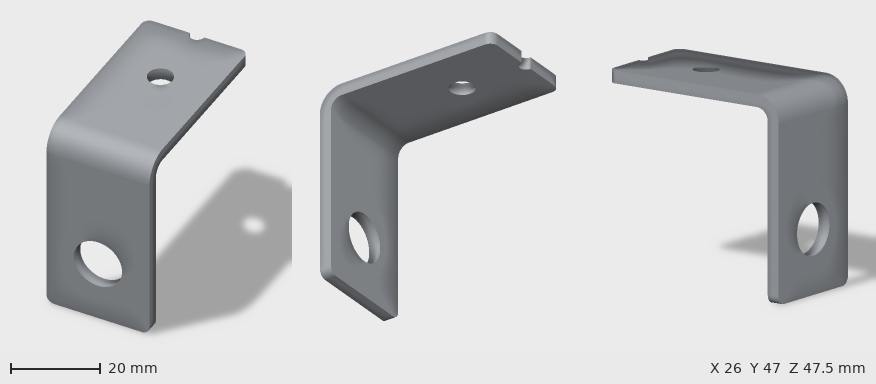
import cadquery as cq

width = 26.0
depth = 47.0
height = 47.5
thickness = 3.0

inner_bend_radius = 3.0
outer_bend_radius = inner_bend_radius + thickness
corner_radius = 2.0

large_hole_diameter = 12.1
large_hole_height = 15.0
small_hole_diameter = 6.1
small_hole_from_back = 17.4
notch_radius = 1.75


def bent_strip():
    """L-shaped strip: front face at Y = 0, bottom edge at Z = 0, centred on X."""
    profile = (
        cq.Workplane("YZ")
        .polyline([
            (0, 0),
            (0, height),
            (depth, height),
            (depth, height - thickness),
            (thickness, height - thickness),
            (thickness, 0),
        ])
        .close()
    )
    strip = profile.extrude(width / 2, both=True)
    outer_edge = cq.selectors.NearestToPointSelector((0, 0, height))
    strip = strip.edges(outer_edge).fillet(outer_bend_radius)
    inner_edge = cq.selectors.NearestToPointSelector((0, thickness, height - thickness))
    return strip.edges(inner_edge).fillet(inner_bend_radius)


def round_free_ends(strip):
    """Round the two corners at the end of each leg."""
    strip = strip.faces(">Y").edges("|Z").fillet(corner_radius)
    return strip.faces("<Z").edges("|Y").fillet(corner_radius)


def upright_leg_hole():
    """Cutter through the upright leg, along Y."""
    return (
        cq.Workplane("XZ")
        .center(0, large_hole_height)
        .circle(large_hole_diameter / 2)
        .extrude(-thickness)
    )


def top_leg_cutouts():
    """Cutters through the top leg: the small hole and the half-round notch in its end."""
    underside = cq.Workplane("XY").workplane(offset=height - thickness)
    hole = (
        underside.center(0, depth - small_hole_from_back)
        .circle(small_hole_diameter / 2)
        .extrude(thickness)
    )
    notch = underside.center(0, depth).circle(notch_radius).extrude(thickness)
    return hole.union(notch)


result = round_free_ends(bent_strip()).cut(upright_leg_hole()).cut(top_leg_cutouts())